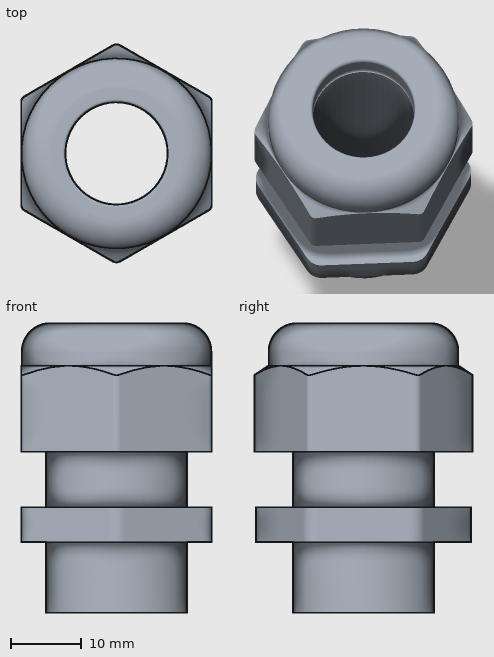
import cadquery as cq
import math

LOCKNUT_BOTTOM = 10.0
LOCKNUT_TOP = 14.95
CAP_BOTTOM = 22.75
HEX_TOP = 34.97
TOTAL_HEIGHT = 41.0

ACROSS_FLATS = 27.0
CAP_CORNER_RADIUS = 1.02
LOCKNUT_CORNER_RADIUS = 2.35
HEX_CHAMFER_ANGLE = 34.0

BODY_RADIUS = 10.0
DOME_RADIUS = 13.45
DOME_FILLET = 4.1

BORE_RADIUS = 7.2
MOUTH_FILLET = 0.5
GROOVE_BOTTOM = 36.7
GROOVE_HEIGHT = 1.0
GROOVE_DEPTH = 1.25


def cylinder(radius, bottom, top):
    return cq.Workplane("XY").workplane(offset=bottom).circle(radius).extrude(top - bottom)


def hex_prism(bottom, top, corner_radius):
    corner_diameter = ACROSS_FLATS / math.cos(math.radians(30))
    prism = (
        cq.Workplane("XY")
        .workplane(offset=bottom)
        .transformed(rotate=(0, 0, 30))
        .polygon(6, corner_diameter)
        .extrude(top - bottom)
    )
    return prism.edges("|Z").fillet(corner_radius)


def chamfered_cap_hex():
    """Hexagon whose upper corners are cut by a cone starting at the foot of the dome."""
    drop = DOME_RADIUS * math.tan(math.radians(HEX_CHAMFER_ANGLE))
    envelope = (
        cq.Workplane("XZ")
        .moveTo(0, CAP_BOTTOM)
        .lineTo(2 * DOME_RADIUS, CAP_BOTTOM)
        .lineTo(2 * DOME_RADIUS, HEX_TOP - drop)
        .lineTo(DOME_RADIUS, HEX_TOP)
        .lineTo(0, HEX_TOP)
        .close()
        .revolve(360, (0, 0, 0), (0, 1, 0))
    )
    return hex_prism(CAP_BOTTOM, HEX_TOP, CAP_CORNER_RADIUS).intersect(envelope)


def dome():
    return cylinder(DOME_RADIUS, HEX_TOP, TOTAL_HEIGHT).faces(">Z").edges().fillet(DOME_FILLET)


body = cylinder(BODY_RADIUS, 0, HEX_TOP)
locknut = hex_prism(LOCKNUT_BOTTOM, LOCKNUT_TOP, LOCKNUT_CORNER_RADIUS)
gland = body.union(locknut).union(chamfered_cap_hex()).union(dome())

bored = gland.cut(cylinder(BORE_RADIUS, 0, TOTAL_HEIGHT))
mouth_edge = cq.selectors.RadiusNthSelector(0)
rounded = bored.faces(">Z").edges(mouth_edge).fillet(MOUTH_FILLET)

groove = cylinder(BORE_RADIUS + GROOVE_DEPTH, GROOVE_BOTTOM, GROOVE_BOTTOM + GROOVE_HEIGHT)
result = rounded.cut(groove)